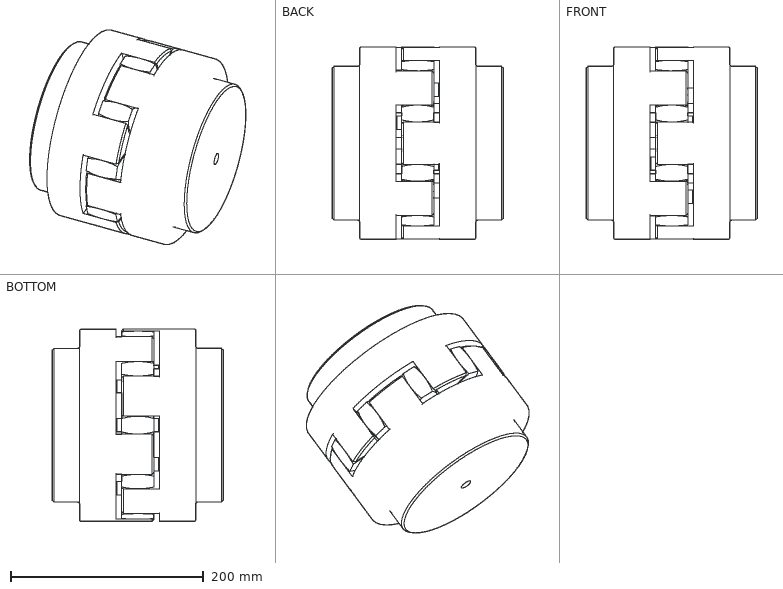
import cadquery as cq
import math

TOTAL_LENGTH = 177.5
FLANGE_RADIUS = 100.0
HUB_RADIUS = 80.0
HUB_LENGTH = 28.5
FLANGE_FACE = 66.5
BORE_RADIUS = 5.8
EDGE_CHAMFER = 2.0
FLANGE_EDGE_RADIUS = 2.0
SHOULDER_FILLET = 2.0

JAWS_PER_HUB = 5
JAW_INNER_RADIUS = 62.5
JAW_NECK_WIDTH = 12.2
FLANK_RADIUS = 47.5

SPIDER_GAP = 5.5
SPIDER_BORE_RADIUS = 50.0
LEG_TOP = 99.5
CROWN_HEIGHT = 2.0
STUD_RADIUS = 7.0
STUD_CENTRE_RADIUS = 68.8
STUD_CLEARANCE = 0.5

MID_X = TOTAL_LENGTH / 2
SPIDER_START = FLANGE_FACE + SPIDER_GAP
SPIDER_END = TOTAL_LENGTH - SPIDER_START
SPIDER_WIDTH = SPIDER_END - SPIDER_START
JAW_LENGTH = SPIDER_END - FLANGE_FACE
STUD_LENGTH = SPIDER_GAP - STUD_CLEARANCE

JAW_PITCH = 360.0 / JAWS_PER_HUB
LEG_PITCH = JAW_PITCH / 2
LEG_COUNT = 2 * JAWS_PER_HUB

JAW_NECK_HALF = JAW_NECK_WIDTH / 2
FLANK_CENTRE_OUT = math.sqrt(JAW_INNER_RADIUS ** 2 - JAW_NECK_HALF ** 2)
FLANK_CENTRE_ASIDE = JAW_NECK_HALF + FLANK_RADIUS

TOOL_RADIUS = FLANGE_RADIUS + 4.0


def ring(outer, inner, start, length):
    """Ring about the X axis."""
    return cq.Workplane("YZ").workplane(offset=start).circle(outer).circle(inner).extrude(length)


def turned(body, angle):
    """Copy of a body turned about the X axis."""
    return body.rotate((0, 0, 0), (1, 0, 0), angle)


def hub_blank():
    """Turned hub: flange with a rounded edge, shoulder fillet, and the band that becomes the jaws."""
    c = EDGE_CHAMFER
    f = SHOULDER_FILLET
    e = FLANGE_EDGE_RADIUS
    diagonal = 1 - math.sqrt(0.5)
    profile = (
        cq.Workplane("XY")
        .moveTo(0, BORE_RADIUS)
        .lineTo(0, HUB_RADIUS - c)
        .lineTo(c, HUB_RADIUS)
        .lineTo(HUB_LENGTH - f, HUB_RADIUS)
        .threePointArc(
            (HUB_LENGTH - f * diagonal, HUB_RADIUS + f * diagonal),
            (HUB_LENGTH, HUB_RADIUS + f),
        )
        .lineTo(HUB_LENGTH, FLANGE_RADIUS - e)
        .threePointArc(
            (HUB_LENGTH + e * diagonal, FLANGE_RADIUS - e * diagonal),
            (HUB_LENGTH + e, FLANGE_RADIUS),
        )
        .lineTo(SPIDER_END - c, FLANGE_RADIUS)
        .lineTo(SPIDER_END, FLANGE_RADIUS - c)
        .lineTo(SPIDER_END, JAW_INNER_RADIUS)
        .lineTo(FLANGE_FACE, JAW_INNER_RADIUS)
        .lineTo(FLANGE_FACE, BORE_RADIUS)
        .close()
    )
    return profile.revolve(360, (0, 0, 0), (1, 0, 0))


def jaw_prism():
    """Cross-section of one jaw along -Y: a sector with a hollow flank on each side."""
    edge_z = TOOL_RADIUS * math.tan(math.radians(LEG_PITCH / 2))
    sector = (
        cq.Workplane("YZ")
        .workplane(offset=FLANGE_FACE)
        .polyline([(0, 0), (-TOOL_RADIUS, -edge_z), (-TOOL_RADIUS, edge_z)])
        .close()
        .extrude(JAW_LENGTH)
    )
    flanks = (
        cq.Workplane("YZ")
        .workplane(offset=FLANGE_FACE)
        .pushPoints([(-FLANK_CENTRE_OUT, -FLANK_CENTRE_ASIDE), (-FLANK_CENTRE_OUT, FLANK_CENTRE_ASIDE)])
        .circle(FLANK_RADIUS)
        .extrude(JAW_LENGTH, combine=False)
    )
    return sector.cut(flanks)


def make_hub():
    """Left hub: the jaws are what stays when the spaces between them are cut from the band."""
    spaces = ring(TOOL_RADIUS, SPIDER_BORE_RADIUS, FLANGE_FACE, JAW_LENGTH)
    prism = jaw_prism()
    for i in range(JAWS_PER_HUB):
        spaces = spaces.cut(turned(prism, LEG_PITCH + i * JAW_PITCH))
    return hub_blank().cut(spaces)


def leg_barrel(jaw_angle, side):
    """Crowned barrel that follows the flank on one side of the jaw at the given angle."""
    end_radius = FLANK_RADIUS - CROWN_HEIGHT
    barrel = (
        cq.Workplane("XY")
        .moveTo(SPIDER_START, 0)
        .lineTo(SPIDER_START, end_radius)
        .threePointArc((MID_X, FLANK_RADIUS), (SPIDER_END, end_radius))
        .lineTo(SPIDER_END, 0)
        .close()
        .revolve(360, (0, 0, 0), (1, 0, 0))
        .translate((0, -FLANK_CENTRE_OUT, side * FLANK_CENTRE_ASIDE))
    )
    return turned(barrel, jaw_angle)


def spider_leg():
    """Flat-topped leg between the jaw at 0 degrees and the jaw one leg pitch above it."""
    lens = leg_barrel(0, 1).intersect(leg_barrel(-LEG_PITCH, -1))
    root = (SPIDER_BORE_RADIUS + JAW_INNER_RADIUS) / 2
    slab = (
        cq.Workplane("XZ")
        .workplane(offset=root)
        .center(MID_X, 0)
        .rect(SPIDER_WIDTH, 2 * FLANK_RADIUS)
        .extrude(LEG_TOP - root)
    )
    return lens.intersect(turned(slab, -LEG_PITCH / 2))


def stud(start):
    """Spacer stud on the axial face of the leg made by spider_leg."""
    post = (
        cq.Workplane("YZ")
        .workplane(offset=start)
        .center(-STUD_CENTRE_RADIUS, 0)
        .circle(STUD_RADIUS)
        .extrude(STUD_LENGTH)
    )
    return turned(post, -LEG_PITCH / 2)


def make_spider():
    """Ring with crowned legs; the studs alternate between the two faces."""
    spider = ring(JAW_INNER_RADIUS, SPIDER_BORE_RADIUS, SPIDER_START, SPIDER_WIDTH)
    leg = spider_leg()
    right_stud = stud(SPIDER_END)
    left_stud = stud(SPIDER_START - STUD_LENGTH)
    for i in range(LEG_COUNT):
        angle = -i * LEG_PITCH
        leg_stud = right_stud if i % 2 == 0 else left_stud
        spider = spider.union(turned(leg, angle)).union(turned(leg_stud, angle))
    return spider


left_hub = make_hub()
right_hub = left_hub.rotate((MID_X, 0, 0), (MID_X, 0, 1), 180)
spider = make_spider()

result = cq.Compound.makeCompound([left_hub.val(), right_hub.val(), spider.val()])